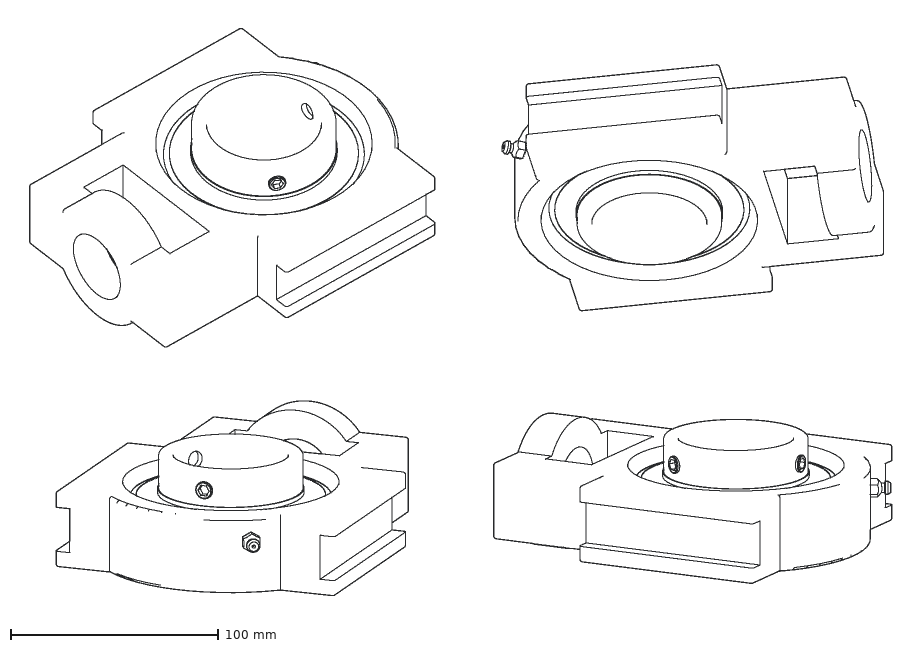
import cadquery as cq
import math

body_thickness = 38
body_width = 145
body_length = 95
neck_width = 102
end_distance = 106
crown_radius = 65
edge_round = 1.5

slot_height = 22
slot_depth = 7.5

boss_radius = 32
boss_length = 19
boss_bore = 35
window_width = 64
window_length = 25

seat_diameter = 100
recess_diameter = 104.56
ledge_height = 12
ledge_round = 1

outer_ring_width = 25
outer_ring_round = 0.7
seal_groove_diameter = 91.44
outer_ring_bore = 88.9

shaft_diameter = 55.56
inner_ring_diameter = 69.85
land_diameter = 70.87
land_height = 15.8
inner_ring_top = 33.4
inner_ring_bottom = -22.2
inner_ring_round = 1.5

seal_rim_height = 12.9
seal_lip_height = 13.6
seal_thickness = 2

screw_diameter = 8.38
screw_height = 23.8
screw_protrusion = 1.2
screw_inner_radius = 30.5
screw_chamfer = 0.4
socket_size = 5
socket_depth = 3
screw_angles = (90, -30)

nipple_angle = 120
nipple_height = 7
nipple_hex_size = 8
nipple_hex_start = 64.5
nipple_hex_turn = 30
nipple_hex_chamfer = 0.8
nipple_hex_end = 69
nipple_collar_height = 1.4
nipple_waist_diameter = 4.4
nipple_head_diameter = 6.5
nipple_head_start = 72.2
nipple_head_bevel = 0.5
nipple_head_end = 73.4
nipple_tip = 74.8
nipple_tip_diameter = 4.7
nipple_bore = 1.51
nipple_bore_depth = 3

half_thickness = body_thickness / 2
half_width = body_width / 2
half_length = body_length / 2
half_neck = neck_width / 2
boss_back = boss_length - end_distance


def cylinder(diameter, bottom, top):
    return cq.Workplane("XY").workplane(offset=bottom).circle(diameter / 2).extrude(top - bottom)


def ball_slice(half_height):
    """The bearing's ball-shaped seat surface as a solid, cut flat above and below."""
    ball = cq.Workplane("XY").sphere(seat_diameter / 2)
    return ball.intersect(cylinder(seat_diameter, -half_height, half_height))


def place_radially(shape, angle, height):
    """Turn a shape built along +Z so that it points outwards at an angle, at a height."""
    return shape.rotate((0, 0, 0), (0, 1, 0), 90).rotate((0, 0, 0), (0, 0, 1), angle).translate((0, 0, height))


def is_rounded_edge(edge):
    """Outer edges of the housing: both flat faces, the front face and the convex corners."""
    tolerance = 0.01
    center = edge.Center()
    on_front = abs(center.y + end_distance) < tolerance
    on_flat = abs(abs(center.z) - half_thickness) < tolerance
    beside_boss = abs(center.x) < boss_radius and -end_distance < center.y < -half_length
    at_side_corner = abs(abs(center.x) - half_width) < tolerance
    return on_front or at_side_corner or (on_flat and not beside_boss)


def make_housing_blank():
    crown_join_x = math.sqrt(crown_radius**2 - half_length**2)
    plate = (
        cq.Workplane("XY")
        .workplane(offset=-half_thickness)
        .moveTo(-half_neck, -end_distance)
        .lineTo(half_neck, -end_distance)
        .lineTo(half_neck, -half_length)
        .lineTo(half_width, -half_length)
        .lineTo(half_width, half_length)
        .lineTo(crown_join_x, half_length)
        .threePointArc((0, crown_radius), (-crown_join_x, half_length))
        .lineTo(-half_width, half_length)
        .lineTo(-half_width, -half_length)
        .lineTo(-half_neck, -half_length)
        .close()
        .extrude(body_thickness)
    )
    boss = cq.Workplane("XZ", origin=(0, boss_back, 0)).circle(boss_radius).extrude(boss_length)
    blank = plate.union(boss)
    rounded = [edge for edge in blank.edges().vals() if is_rounded_edge(edge)]
    return blank.newObject(rounded).fillet(edge_round)


def make_housing():
    housing = make_housing_blank()

    for side in (-1, 1):
        slot_center = side * (half_width - slot_depth / 2)
        slot = cq.Workplane("XY").box(slot_depth, body_length, slot_height).translate((slot_center, 0, 0))
        housing = housing.cut(slot)

    window_center = boss_back + window_length / 2
    window = cq.Workplane("XY").box(window_width, window_length, 2 * boss_radius)
    housing = housing.cut(window.translate((0, window_center, 0)))
    boss_hole = cq.Workplane("XZ", origin=(0, boss_back, 0)).circle(boss_bore / 2).extrude(boss_length)
    housing = housing.cut(boss_hole)

    upper_recess = cylinder(recess_diameter, ledge_height, half_thickness).faces("<Z").edges().fillet(ledge_round)
    lower_recess = upper_recess.mirror("XY")
    seat = ball_slice(ledge_height)
    return housing.cut(upper_recess).cut(lower_recess).cut(seat)


def make_outer_ring():
    half_ring = outer_ring_width / 2
    ring = ball_slice(half_ring).faces("|Z").edges().fillet(outer_ring_round)
    groove_floor = seal_rim_height - seal_thickness
    return (
        ring.cut(cylinder(outer_ring_bore, -half_ring, half_ring))
        .cut(cylinder(seal_groove_diameter, groove_floor, half_ring))
        .cut(cylinder(seal_groove_diameter, -half_ring, -groove_floor))
    )


def make_inner_ring():
    ring = cylinder(inner_ring_diameter, inner_ring_bottom, inner_ring_top)
    ring = ring.cut(cylinder(shaft_diameter, inner_ring_bottom, inner_ring_top))
    ring = ring.faces("|Z").edges().fillet(inner_ring_round)
    land = cylinder(land_diameter, -land_height, land_height)
    land = land.cut(cylinder(shaft_diameter, -land_height, land_height))
    ring = ring.union(land)
    for angle in screw_angles:
        screw_hole = cylinder(screw_diameter, 0, inner_ring_diameter)
        ring = ring.cut(place_radially(screw_hole, angle, screw_height))
    return ring


def make_upper_seal():
    seal_bottom = seal_rim_height - seal_thickness
    rim_radius = seal_groove_diameter / 2
    lip_radius = land_diameter / 2
    profile = [
        (lip_radius, seal_bottom),
        (rim_radius, seal_bottom),
        (rim_radius, seal_rim_height),
        (lip_radius, seal_lip_height),
    ]
    return cq.Workplane("XZ").polyline(profile).close().revolve(360, (0, 0, 0), (0, 1, 0))


def make_screw(angle):
    outer_radius = inner_ring_diameter / 2 + screw_protrusion
    screw = cylinder(screw_diameter, screw_inner_radius, outer_radius).faces(">Z").chamfer(screw_chamfer)
    socket = (
        cq.Workplane("XY")
        .workplane(offset=outer_radius - socket_depth)
        .polygon(6, socket_size, circumscribed=True)
        .extrude(socket_depth)
    )
    return place_radially(screw.cut(socket), angle, screw_height)


def make_nipple():
    hexagon = (
        cq.Workplane("XY")
        .workplane(offset=nipple_hex_start)
        .polygon(6, nipple_hex_size, circumscribed=True)
        .extrude(nipple_hex_end - nipple_hex_start)
        .rotate((0, 0, 0), (0, 0, 1), nipple_hex_turn)
    )
    hex_corner_diameter = nipple_hex_size / math.cos(math.pi / 6)
    chamfered_bar = cylinder(hex_corner_diameter, nipple_hex_start, nipple_hex_end)
    hexagon = hexagon.intersect(chamfered_bar.faces(">Z").chamfer(nipple_hex_chamfer))

    collar_radius = hex_corner_diameter / 2 - nipple_hex_chamfer
    head_radius = nipple_head_diameter / 2
    tip_radius = nipple_tip_diameter / 2
    waist_radius = nipple_waist_diameter / 2
    stem = (
        cq.Workplane("XZ")
        .moveTo(0, nipple_hex_end)
        .lineTo(collar_radius, nipple_hex_end)
        .lineTo(waist_radius, nipple_hex_end + nipple_collar_height)
        .lineTo(waist_radius, nipple_head_start - nipple_head_bevel)
        .lineTo(head_radius, nipple_head_start)
        .lineTo(head_radius, nipple_head_end)
        .lineTo(tip_radius, nipple_tip)
        .lineTo(0, nipple_tip)
        .close()
        .revolve(360, (0, 0, 0), (0, 1, 0))
    )
    bore = cylinder(nipple_bore, nipple_tip - nipple_bore_depth, nipple_tip)
    return place_radially(hexagon.union(stem).cut(bore), nipple_angle, nipple_height)


nipple = make_nipple()
housing = make_housing().cut(nipple)
outer_ring = make_outer_ring()
upper_seal = make_upper_seal()
lower_seal = upper_seal.mirror("XY")

inner_ring = make_inner_ring()
screws = [make_screw(angle) for angle in screw_angles]

bodies = [housing, outer_ring, inner_ring, upper_seal, lower_seal, *screws, nipple]
result = cq.Compound.makeCompound([body.val() for body in bodies])